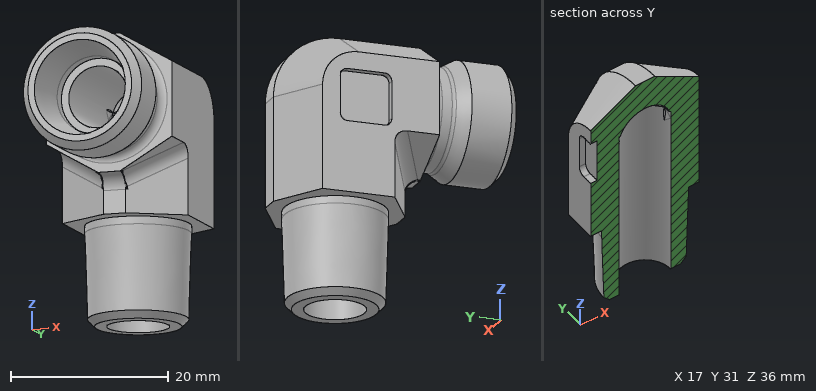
import cadquery as cq
import math


ACROSS_FLATS = 17.0
CORNER_HEIGHT = 8.95
STUD_FACE = 11.0
THREAD_FACE = 14.0
INNER_FILLET = 2.0

STUD_END = 22.0
STUD_RADIUS = 16.0 / 2
STUD_CHAMFER = 1.0
STUD_THREAD_LENGTH = 6.4
RELIEF_RADIUS = 13.7 / 2
RELIEF_FILLET = 1.0
RUNOUT_ANGLE = math.radians(30)
SEAT_MOUTH_RADIUS = 12.3 / 2
SEAT_HALF_ANGLE = math.radians(12)
TUBE_RADIUS = 10.0 / 2
TUBE_STOP_DEPTH = 7.0

THREAD_END = 27.0
THREAD_RADIUS = 13.63 / 2
THREAD_COLLAR = 1.0
THREAD_TAPER = 1 / 16
THREAD_CHAMFER = 0.9

BORE_RADIUS = 8.0 / 2
BORE_OVERRUN = 1.16
DRILL_HALF_ANGLE = math.radians(59)

RECESS_SIZE = 7.0
RECESS_CORNER = 1.0
RECESS_DEPTH = 1.0
RECESS_Y = -1.0
RECESS_Z = -1.0

HALF_WIDTH = ACROSS_FLATS / 2
SIDE_CORNER = HALF_WIDTH * math.tan(math.radians(30))
FLAT_HALF_WIDTH = (2 * SIDE_CORNER - CORNER_HEIGHT) * math.tan(math.radians(60))


def onto_stud_axis(solid):
    """Turn a solid built down the -Z axis so that it lies along -Y."""
    return solid.rotate((0, 0, 0), (1, 0, 0), -90)


def turned(profile):
    """Revolve a closed (radius, z) profile about the Z axis."""
    return profile.close().revolve(360, (0, 0, 0), (0, 1, 0))


def hex_leg(length):
    """Hexagonal leg running down from the origin, with flats on the X sides."""
    upper = [
        (HALF_WIDTH, SIDE_CORNER),
        (FLAT_HALF_WIDTH, CORNER_HEIGHT),
        (-FLAT_HALF_WIDTH, CORNER_HEIGHT),
        (-HALF_WIDTH, SIDE_CORNER),
    ]
    lower = [(-x, -y) for x, y in upper]
    return cq.Workplane("XY").polyline(upper + lower).close().extrude(-length)


def outer_bend():
    """Quarter turn of the half hexagon about X, joining the two legs on the outside."""
    half_hex = [
        (HALF_WIDTH, 0),
        (HALF_WIDTH, SIDE_CORNER),
        (FLAT_HALF_WIDTH, CORNER_HEIGHT),
        (-FLAT_HALF_WIDTH, CORNER_HEIGHT),
        (-HALF_WIDTH, SIDE_CORNER),
        (-HALF_WIDTH, 0),
    ]
    return cq.Workplane("XY").polyline(half_hex).close().revolve(90, (0, 0, 0), (1, 0, 0))


def elbow_body():
    legs = hex_leg(THREAD_FACE).union(onto_stud_axis(hex_leg(STUD_FACE)))
    body = legs.union(outer_bend())
    middle = (CORNER_HEIGHT + SIDE_CORNER) / 2
    slant_x = (HALF_WIDTH + FLAT_HALF_WIDTH) / 2
    inner_edges = cq.Workplane("XY")
    for x, depth in [(-slant_x, middle), (0, CORNER_HEIGHT), (slant_x, middle)]:
        inner_edges = inner_edges.add(body.edges(cq.NearestToPointSelector((x, -depth, -depth))))
    return body.newObject(inner_edges.vals()).fillet(INNER_FILLET)


def tube_stud():
    """Stud with a filleted undercut between the body and the thread."""
    runout_end = STUD_END - STUD_THREAD_LENGTH
    runout_start = runout_end - (STUD_RADIUS - RELIEF_RADIUS) / math.tan(RUNOUT_ANGLE)
    tangent = RELIEF_FILLET * math.tan(RUNOUT_ANGLE / 2)

    def blend_point(angle):
        radius = RELIEF_RADIUS + RELIEF_FILLET * (1 - math.cos(angle))
        return radius, -(runout_start - tangent + RELIEF_FILLET * math.sin(angle))

    root_turn = RELIEF_FILLET * (1 - math.sqrt(0.5))
    profile = (
        cq.Workplane("XZ")
        .moveTo(0, -STUD_FACE)
        .lineTo(RELIEF_RADIUS + RELIEF_FILLET, -STUD_FACE)
        .threePointArc(
            (RELIEF_RADIUS + root_turn, -STUD_FACE - root_turn),
            (RELIEF_RADIUS, -STUD_FACE - RELIEF_FILLET),
        )
        .lineTo(*blend_point(0))
        .threePointArc(blend_point(RUNOUT_ANGLE / 2), blend_point(RUNOUT_ANGLE))
        .lineTo(STUD_RADIUS, -runout_end)
        .lineTo(STUD_RADIUS, -STUD_END + STUD_CHAMFER)
        .lineTo(STUD_RADIUS - STUD_CHAMFER, -STUD_END)
        .lineTo(0, -STUD_END)
    )
    return onto_stud_axis(turned(profile))


def taper_thread():
    collar_end = THREAD_FACE + THREAD_COLLAR
    taper_end = THREAD_END - THREAD_CHAMFER
    small_radius = THREAD_RADIUS - (taper_end - collar_end) * THREAD_TAPER / 2
    profile = (
        cq.Workplane("XZ")
        .moveTo(0, -THREAD_FACE)
        .lineTo(THREAD_RADIUS, -THREAD_FACE)
        .lineTo(THREAD_RADIUS, -collar_end)
        .lineTo(small_radius, -taper_end)
        .lineTo(small_radius - THREAD_CHAMFER, -THREAD_END)
        .lineTo(0, -THREAD_END)
    )
    return turned(profile)


def drilled_bore(entry):
    """Bore entering from below and ending in a drill point just past the crossing."""
    tip = BORE_OVERRUN + BORE_RADIUS / math.tan(DRILL_HALF_ANGLE)
    profile = (
        cq.Workplane("XZ")
        .moveTo(0, -entry)
        .lineTo(BORE_RADIUS, -entry)
        .lineTo(BORE_RADIUS, BORE_OVERRUN)
        .lineTo(0, tip)
    )
    return turned(profile)


def tube_seat():
    """Cone seat at the stud mouth, followed by the tube socket down to its stop."""
    cone_length = (SEAT_MOUTH_RADIUS - TUBE_RADIUS) / math.tan(SEAT_HALF_ANGLE)
    profile = (
        cq.Workplane("XZ")
        .moveTo(0, -STUD_END)
        .lineTo(SEAT_MOUTH_RADIUS, -STUD_END)
        .lineTo(TUBE_RADIUS, -STUD_END + cone_length)
        .lineTo(TUBE_RADIUS, -STUD_END + TUBE_STOP_DEPTH)
        .lineTo(0, -STUD_END + TUBE_STOP_DEPTH)
    )
    return onto_stud_axis(turned(profile))


def side_recess():
    return (
        cq.Workplane("XY")
        .box(RECESS_DEPTH, RECESS_SIZE, RECESS_SIZE, centered=(False, True, True))
        .edges("|X")
        .fillet(RECESS_CORNER)
        .translate((-HALF_WIDTH, RECESS_Y, RECESS_Z))
    )


result = (
    elbow_body()
    .union(tube_stud())
    .union(taper_thread())
    .cut(drilled_bore(THREAD_END))
    .cut(onto_stud_axis(drilled_bore(STUD_END)))
    .cut(tube_seat())
    .cut(side_recess())
)